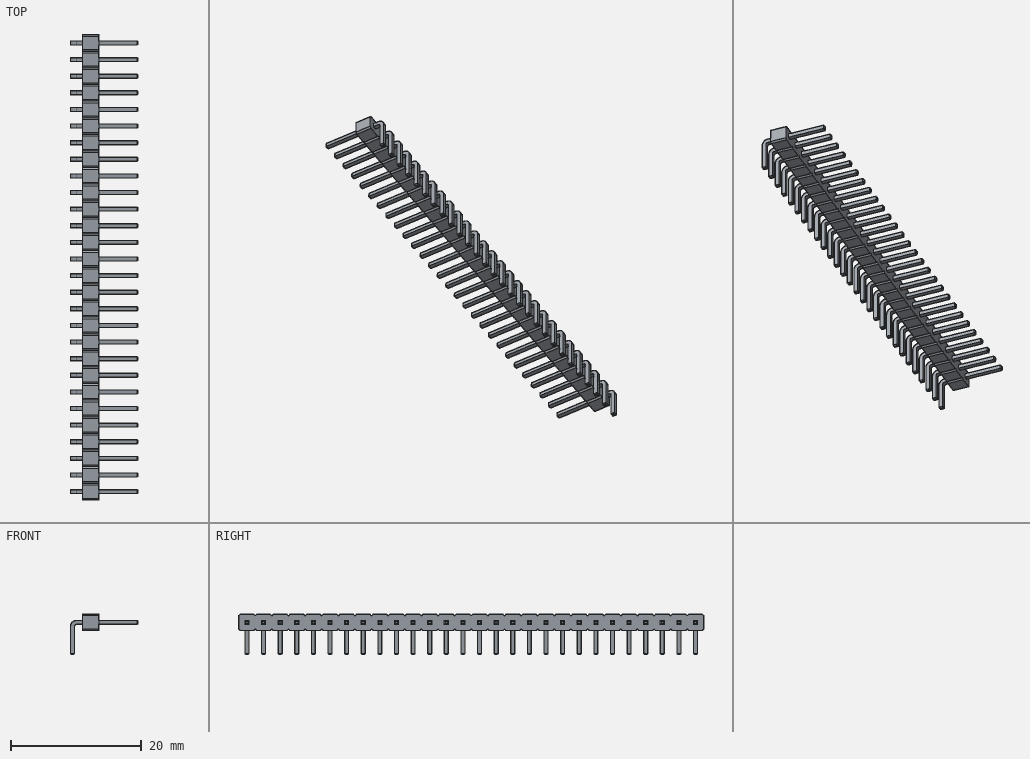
import cadquery as cq

pin_count = 28
pitch = 2.54
housing_chamfer = pitch / 10

pin_width = 0.64
pin_tip_chamfer = pin_width / 4
bend_inner_radius = pin_width / 2
bend_outer_radius = bend_inner_radius + pin_width

tail_to_housing = 1.5
mating_length = 6.0
tail_below_housing = 3.64

housing_near_x = tail_to_housing
housing_far_x = housing_near_x + pitch
row_axis_z = pitch / 2
pin_end_x = housing_far_x + mating_length


def pin_y(index):
    """Y position of a pin centreline; the row runs towards -Y."""
    return -index * pitch


def make_housing_cell():
    """One pitch of the housing, with its four edges along X chamfered."""
    return (
        cq.Workplane("XY")
        .box(pitch, pitch, pitch)
        .edges("|X")
        .chamfer(housing_chamfer)
        .translate((housing_near_x + pitch / 2, 0, row_axis_z))
    )


def make_pin():
    """Square pin with a rounded right-angle bend and tapered ends."""
    half = pin_width / 2
    pin = (
        cq.Workplane("XZ")
        .moveTo(-half, -tail_below_housing)
        .lineTo(-half, row_axis_z + half)
        .lineTo(pin_end_x, row_axis_z + half)
        .lineTo(pin_end_x, row_axis_z - half)
        .lineTo(half, row_axis_z - half)
        .lineTo(half, -tail_below_housing)
        .close()
        .extrude(half, both=True)
    )
    outer_corner = cq.selectors.NearestToPointSelector((-half, 0, row_axis_z + half))
    inner_corner = cq.selectors.NearestToPointSelector((half, 0, row_axis_z - half))
    pin = pin.edges(outer_corner).fillet(bend_outer_radius)
    pin = pin.edges(inner_corner).fillet(bend_inner_radius)
    return pin.faces(">X or <Z").edges().chamfer(pin_tip_chamfer)


def make_row(item):
    """Copies of one item at every pin position."""
    return [item.translate((0, pin_y(index), 0)).val() for index in range(pin_count)]


def make_header():
    """Header joined from the housing cells and their pins."""
    cell = make_housing_cell().union(make_pin())
    first, *others = make_row(cell)
    return cq.Workplane("XY").newObject([first.fuse(*others).clean()])


result = make_header()